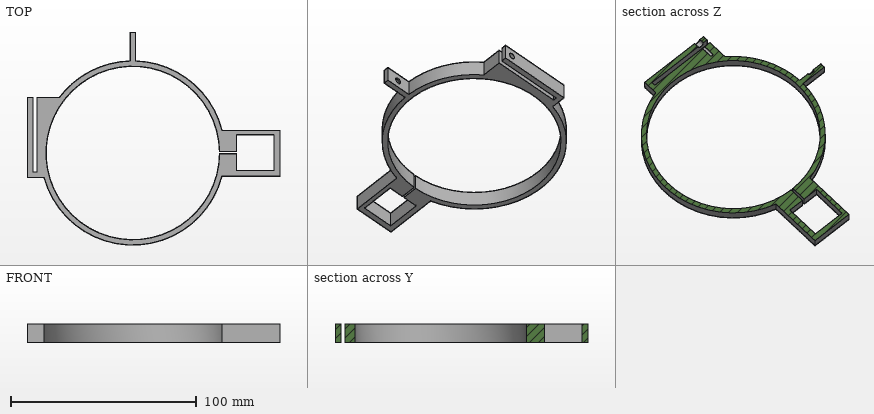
import cadquery as cq

height = 10.0
mid_height = height / 2

ring_outer_radius = 49.6
wall = 3.0
ring_inner_radius = ring_outer_radius - wall

tab_end_y = 65.0
tab_hole_y = 57.5
tab_hole_depth = 1.0
cross_hole_diameter = 3.5

block_left_x = -56.7
block_top_y = 29.9
block_bottom_y = -13.2
slot_width = 2.0
slot_left_x = block_left_x + wall
slot_right_x = slot_left_x + slot_width
slot_bottom_y = block_bottom_y + wall
arm_hole_y = 25.2
pilot_hole_diameter = 1.5
pilot_hole_depth = 6.8

overall_length = 136.0
loop_right_x = block_left_x + overall_length
loop_top_y = 12.2
loop_bottom_y = -12.6
window_left_x = 55.9
loop_end_wall = 3.3
loop_top_wall = 2.5
loop_bottom_wall = 3.3
window_right_x = loop_right_x - loop_end_wall
window_top_y = loop_top_y - loop_top_wall
window_bottom_y = loop_bottom_y + loop_bottom_wall
split_width = 1.1
split_center_y = (window_top_y + window_bottom_y) / 2


def plate(x_min, x_max, y_min, y_max):
    """Full-height rectangular block between the given limits."""
    return cq.Workplane("XY").box(x_max - x_min, y_max - y_min, height, centered=False).translate(
        (x_min, y_min, 0)
    )


def disc(radius):
    """Full-height cylinder on the ring axis."""
    return cq.Workplane("XY").circle(radius).extrude(height)


def cross_hole(diameter, x_min, x_max, y):
    """Cylinder along X at mid height, used to cut a hole."""
    return (
        cq.Workplane("YZ", origin=(x_min, y, mid_height))
        .circle(diameter / 2)
        .extrude(x_max - x_min)
    )


tab = plate(-wall / 2, wall / 2, 0, tab_end_y)
block = plate(block_left_x, 0, block_bottom_y, block_top_y)
loop = plate(0, loop_right_x, loop_bottom_y, loop_top_y)
body = disc(ring_outer_radius).union(tab).union(block).union(loop)

body = body.cut(disc(ring_inner_radius))
body = body.cut(plate(window_left_x, window_right_x, window_bottom_y, window_top_y))
body = body.cut(
    plate(0, window_left_x, split_center_y - split_width / 2, split_center_y + split_width / 2)
)

body = body.cut(plate(slot_left_x, slot_right_x, slot_bottom_y, block_top_y))

body = body.cut(cross_hole(cross_hole_diameter, -wall / 2, -wall / 2 + tab_hole_depth, tab_hole_y))
body = body.cut(cross_hole(cross_hole_diameter, block_left_x, slot_left_x, arm_hole_y))
body = body.cut(cross_hole(pilot_hole_diameter, slot_right_x, slot_right_x + pilot_hole_depth, arm_hole_y))

result = body